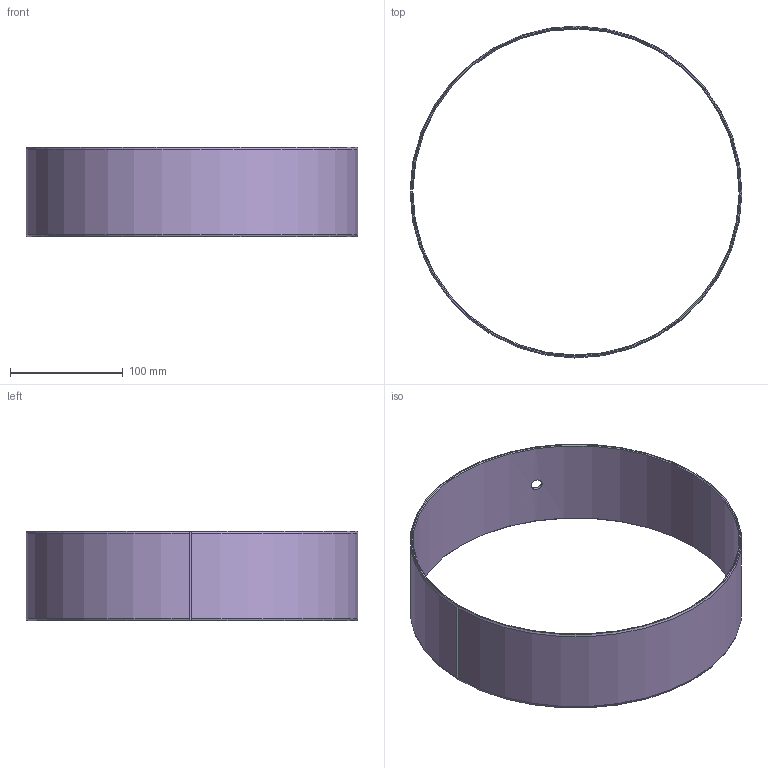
import cadquery as cq
import math

outer_diameter = 295.0
wall = 2.5
height = 80.0

bevel_height = 2.0
bevel_angle = 20.0

inner_chamfer = 0.8

split_width = 1.5
split_center_y = 1.5

hole_diameter = 10.0
hole_angle = 59.0

outer_radius = outer_diameter / 2
inner_radius = outer_radius - wall
half_height = height / 2
bevel_depth = bevel_height * math.tan(math.radians(bevel_angle))


def make_ring():
    """Revolve the wall section, with all four edges broken, about Z."""
    rim_outer = outer_radius - bevel_depth
    rim_inner = inner_radius + inner_chamfer
    bevel_z = half_height - bevel_height
    chamfer_z = half_height - inner_chamfer
    section = (
        cq.Workplane("XZ")
        .moveTo(-rim_inner, -half_height)
        .lineTo(-rim_outer, -half_height)
        .lineTo(-outer_radius, -bevel_z)
        .lineTo(-outer_radius, bevel_z)
        .lineTo(-rim_outer, half_height)
        .lineTo(-rim_inner, half_height)
        .lineTo(-inner_radius, chamfer_z)
        .lineTo(-inner_radius, -chamfer_z)
        .close()
    )
    return section.revolve(360, (0, 0, 0), (0, 1, 0))


def make_split():
    """Block that opens the ring on the -X side over its full height."""
    block = cq.Workplane("XY").box(outer_radius, split_width, height)
    return block.translate((-outer_radius, split_center_y, 0))


def make_hole():
    """Cylinder from the ring axis outwards, crossing the wall once."""
    cylinder = cq.Workplane("YZ").circle(hole_diameter / 2).extrude(outer_diameter)
    return cylinder.rotate((0, 0, 0), (0, 0, 1), hole_angle)


result = make_ring().cut(make_split()).cut(make_hole())